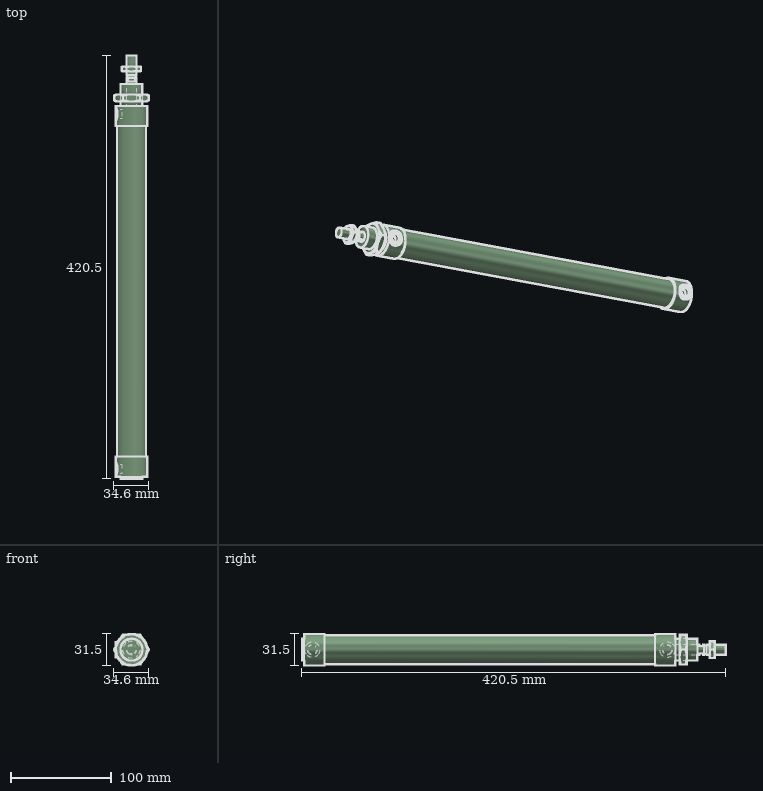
import cadquery as cq
import math

OVERALL_LENGTH = 420.5
TIP_Y = OVERALL_LENGTH / 2
REAR_Y = -OVERALL_LENGTH / 2

COVER_DIAMETER = 31.5
TUBE_DIAMETER = 29.0
NOSE_DIAMETER = 22.0
COVER_LENGTH = 20.0
REAR_DISC_LENGTH = 2.0
NOSE_PROJECTION = 28.0
FRONT_COVER_SETBACK = 50.0
NOSE_FACE_Y = TIP_Y - NOSE_PROJECTION
FRONT_COVER_FACE_Y = TIP_Y - FRONT_COVER_SETBACK
FRONT_COVER_BACK_Y = FRONT_COVER_FACE_Y - COVER_LENGTH
REAR_COVER_BACK_Y = REAR_Y + REAR_DISC_LENGTH
REAR_COVER_FACE_Y = REAR_COVER_BACK_Y + COVER_LENGTH

PORT_BOSS_DIAMETER = 15.0
PORT_HOLE_DIAMETER = 9.0
PORT_MOUTH_DIAMETER = 10.0
PORT_DEPTH = 6.5
PORT_INSET = 8.0
PORT_FACE_X = -COVER_DIAMETER / 2
PORT_CENTERS_Y = (FRONT_COVER_FACE_Y - PORT_INSET, REAR_COVER_BACK_Y + PORT_INSET)

ROD_DIAMETER = 10.0
THREAD_LENGTH = 19.5
NECK_DIAMETER = 9.0
NECK_LENGTH = 2.5
FLATS_WIDTH = 7.5
FLATS_LENGTH = 3.5
FLATS_BACK_SETBACK = 26.0
THREAD_END_Y = TIP_Y - THREAD_LENGTH
ROD_END_Y = FRONT_COVER_FACE_Y

ROD_NUT_ACROSS_FLATS = 17.0
ROD_NUT_THICKNESS = 5.0
ROD_NUT_SETBACK = 11.0
NOSE_NUT_ACROSS_FLATS = 30.0
NOSE_NUT_THICKNESS = 7.0
NOSE_NUT_SETBACK = 38.5
NUT_CHAMFER_ANGLE = 30.0


def cylinder(diameter, back_y, front_y):
    """Solid cylinder on the Y axis between two Y positions."""
    return cq.Workplane("XZ", origin=(0, front_y, 0)).circle(diameter / 2).extrude(front_y - back_y)


def port_cylinder(diameter, center_y, outer_x, inner_x):
    """Solid cylinder along X at one port."""
    return cq.Workplane("YZ", origin=(outer_x, center_y, 0)).circle(diameter / 2).extrude(inner_x - outer_x)


def port_countersink(center_y):
    """45 degree cone that widens a port hole at the boss face."""
    mouth_radius = PORT_MOUTH_DIAMETER / 2
    hole_radius = PORT_HOLE_DIAMETER / 2
    return cq.Workplane(cq.Solid.makeCone(
        mouth_radius,
        hole_radius,
        mouth_radius - hole_radius,
        cq.Vector(PORT_FACE_X, center_y, 0),
        cq.Vector(1, 0, 0),
    ))


def make_housing():
    """Tube, both covers, threaded nose and ports in one body, bored for the rod."""
    housing = (
        cylinder(TUBE_DIAMETER, REAR_COVER_FACE_Y, FRONT_COVER_BACK_Y)
        .union(cylinder(COVER_DIAMETER, FRONT_COVER_BACK_Y, FRONT_COVER_FACE_Y))
        .union(cylinder(COVER_DIAMETER, REAR_COVER_BACK_Y, REAR_COVER_FACE_Y))
        .union(cylinder(NOSE_DIAMETER, FRONT_COVER_FACE_Y, NOSE_FACE_Y))
        .union(cylinder(NOSE_DIAMETER, REAR_Y, REAR_COVER_BACK_Y))
    )
    for center_y in PORT_CENTERS_Y:
        housing = housing.union(port_cylinder(PORT_BOSS_DIAMETER, center_y, PORT_FACE_X, 0))
        housing = housing.cut(
            port_cylinder(PORT_HOLE_DIAMETER, center_y, PORT_FACE_X, PORT_FACE_X + PORT_DEPTH)
        ).cut(port_countersink(center_y))
    return housing.cut(cylinder(ROD_DIAMETER, ROD_END_Y, NOSE_FACE_Y))


def make_rod():
    """Rod with an undercut behind its thread and two wrench flats facing up and down."""
    neck_back_y = THREAD_END_Y - NECK_LENGTH
    rod = (
        cylinder(ROD_DIAMETER, ROD_END_Y, neck_back_y)
        .union(cylinder(NECK_DIAMETER, neck_back_y, THREAD_END_Y))
        .union(cylinder(ROD_DIAMETER, THREAD_END_Y, TIP_Y))
    )
    flats_center_y = TIP_Y - FLATS_BACK_SETBACK + FLATS_LENGTH / 2
    flats_zone = cq.Workplane("XY", origin=(0, flats_center_y, 0)).box(
        ROD_DIAMETER, FLATS_LENGTH, ROD_DIAMETER
    )
    kept_between_flats = cq.Workplane("XY", origin=(0, flats_center_y, 0)).box(
        ROD_DIAMETER, FLATS_LENGTH, FLATS_WIDTH
    )
    return rod.cut(flats_zone.cut(kept_between_flats))


def nut_envelope(across_flats, across_corners, thickness, front_y):
    """Turned shape that bevels the nut corners down to the across-flats circle at both faces."""
    flat_radius = across_flats / 2
    corner_radius = across_corners / 2
    drop = (corner_radius - flat_radius) * math.tan(math.radians(NUT_CHAMFER_ANGLE))
    back_y = front_y - thickness
    return (
        cq.Workplane("XY")
        .polyline([
            (0, back_y),
            (flat_radius, back_y),
            (corner_radius, back_y + drop),
            (corner_radius, front_y - drop),
            (flat_radius, front_y),
            (0, front_y),
        ])
        .close()
        .revolve(360, (0, 0, 0), (0, 1, 0))
    )


def make_nut(across_flats, thickness, front_y, bore_diameter):
    """Hexagon nut with corners on the X axis, turned down at both faces."""
    across_corners = across_flats / math.cos(math.pi / 6)
    hexagon = (
        cq.Workplane("XZ", origin=(0, front_y, 0)).polygon(6, across_corners).extrude(thickness)
    )
    envelope = nut_envelope(across_flats, across_corners, thickness, front_y)
    return hexagon.intersect(envelope).cut(cylinder(bore_diameter, front_y - thickness, front_y))


housing = make_housing()
rod = make_rod()
rod_nut = make_nut(ROD_NUT_ACROSS_FLATS, ROD_NUT_THICKNESS, TIP_Y - ROD_NUT_SETBACK, ROD_DIAMETER)
nose_nut = make_nut(NOSE_NUT_ACROSS_FLATS, NOSE_NUT_THICKNESS, TIP_Y - NOSE_NUT_SETBACK, NOSE_DIAMETER)

result = cq.Compound.makeCompound([housing.val(), rod.val(), rod_nut.val(), nose_nut.val()])